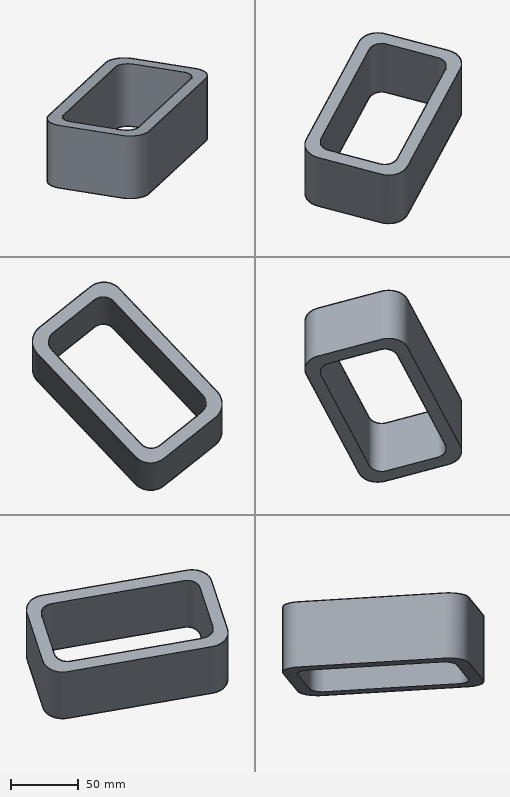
import cadquery as cq

width = 80.0
length = 140.0
height = 50.0

wall = 10.0
outer_corner_radius = 15.0
inner_corner_radius = 10.0


def rounded_block(size_x, size_y, corner_radius):
    """Block of the full height with rounded vertical edges."""
    block = cq.Workplane("XY").rect(size_x, size_y).extrude(height)
    return block.edges("|Z").fillet(corner_radius)


outer_body = rounded_block(width, length, outer_corner_radius)

opening = rounded_block(width - 2 * wall, length - 2 * wall, inner_corner_radius)

result = outer_body.cut(opening)